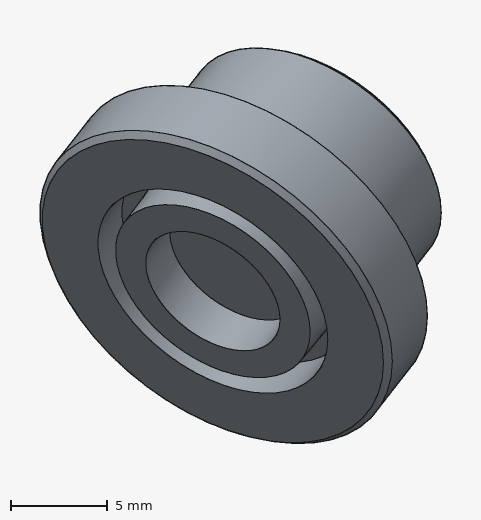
import cadquery as cq

flange_diameter = 21.0
boss_diameter = 15.0
total_length = 11.0
rim_length = 4.0
boss_start = 5.31
edge_chamfer = 0.34

groove_outer_diameter = 13.7
hub_tip_diameter = 11.6
hub_base_diameter = 11.72
bore_diameter = 8.0
recess_depth = 2.5

flange_radius = flange_diameter / 2
boss_radius = boss_diameter / 2


def turned(profile):
    """Revolve a closed (radius, Y) profile about the Y axis."""
    return cq.Workplane("XY").polyline(profile).close().revolve(360, (0, 0, 0), (0, 1, 0))


body = turned([
    (0, 0),
    (flange_radius - edge_chamfer, 0),
    (flange_radius, edge_chamfer),
    (flange_radius, rim_length),
    (boss_radius, boss_start),
    (boss_radius, total_length - edge_chamfer),
    (boss_radius - edge_chamfer, total_length),
    (0, total_length),
])

groove = turned([
    (hub_tip_diameter / 2, 0),
    (groove_outer_diameter / 2, 0),
    (groove_outer_diameter / 2, recess_depth),
    (hub_base_diameter / 2, recess_depth),
])

bore_radius = bore_diameter / 2
bore = turned([
    (0, 0),
    (bore_radius, 0),
    (bore_radius, recess_depth),
    (0, recess_depth),
])

result = body.cut(groove).cut(bore)